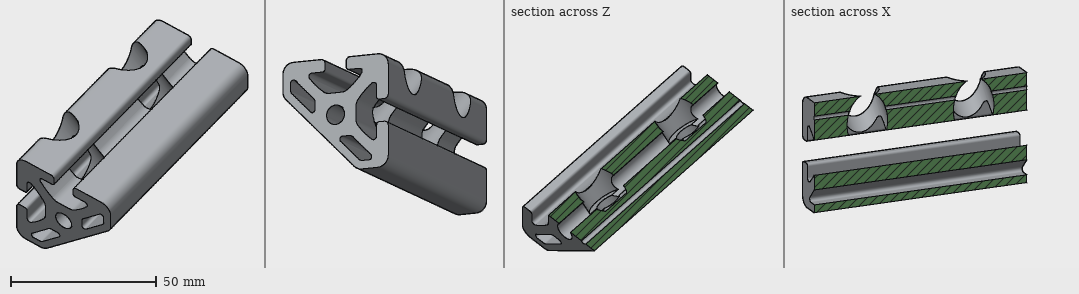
import cadquery as cq
import math

side = 40.0
length = 80.0
outer_radius = 4.0
diagonal_face_distance = 8.3
core_bore_diameter = 6.8

slot_opening = 8.0
lip_thickness = 4.5
slot_floor = 7.8
slot_floor_width = 7.0
slot_tip_width = 22.2
slot_flank_bulge = 0.6
lip_outer_radius = 1.5
lip_inner_radius = 1.0
slot_corner_radius = 1.1
slot_floor_radius = 4.0

chamber_near = 7.8
chamber_far = 17.0
chamber_upper_offset = 1.8
chamber_lower_offset = 7.6
chamber_tip_radius = 1.0
chamber_blunt_radius = 1.8

hole_spacing = 40.0
hole_diameter = 9.0
counterbore_diameter = 15.0
counterbore_floor = 2.3

half_side = side / 2
half_opening = slot_opening / 2
lip_bottom = half_side - lip_thickness
mirror_normal = cq.Vector(1, 0, 1)


def extrude_section(points):
    """Prism with the given (x, z) outline, running the full length and centred on Y = 0."""
    return cq.Workplane("XZ").polyline(points).close().extrude(length / 2, both=True)


def fillet_corners(body, corners, radius):
    """Round the lengthwise edges that pass through the given (x, z) corners."""
    for x, z in corners:
        body = body.edges(cq.selectors.NearestToPointSelector((x, 0, z))).fillet(radius)
    return body


def make_outer_body():
    intercept = diagonal_face_distance * math.sqrt(2)
    corner = half_side - intercept
    outline = [
        (-half_side, half_side),
        (half_side, half_side),
        (half_side, corner),
        (-corner, -half_side),
        (-half_side, -half_side),
    ]
    return extrude_section(outline).edges("|Y").fillet(outer_radius)


def make_slot_cavity():
    """Undercut part of the upper T-slot, below its lips."""
    half_floor = slot_floor_width / 2
    half_tip = slot_tip_width / 2
    tips = [(-half_tip, lip_bottom), (half_tip, lip_bottom)]
    floor_corners = [(half_floor, slot_floor), (-half_floor, slot_floor)]
    cavity = (
        cq.Workplane("XZ")
        .moveTo(*tips[0])
        .lineTo(*tips[1])
        .sagittaArc(floor_corners[0], slot_flank_bulge)
        .lineTo(*floor_corners[1])
        .sagittaArc(tips[0], slot_flank_bulge)
        .close()
        .extrude(length / 2, both=True)
    )
    cavity = fillet_corners(cavity, tips, slot_corner_radius)
    return fillet_corners(cavity, floor_corners, slot_floor_radius)


def make_upper_slot():
    opening = extrude_section([
        (-half_opening, lip_bottom),
        (half_opening, lip_bottom),
        (half_opening, half_side),
        (-half_opening, half_side),
    ])
    return make_slot_cavity().union(opening)


def round_lips(body):
    """Round the lips of both slots; each left corner is the reflection of an upper one."""
    for z, radius in ((half_side, lip_outer_radius), (lip_bottom, lip_inner_radius)):
        upper_corners = [(-half_opening, z), (half_opening, z)]
        left_corners = [(-z, -half_opening), (-z, half_opening)]
        body = fillet_corners(body, upper_corners + left_corners, radius)
    return body


def make_right_chamber():
    tips = [
        (chamber_far, chamber_far - chamber_upper_offset),
        (chamber_near, chamber_near - chamber_lower_offset),
    ]
    blunt_corners = [
        (chamber_far, chamber_far - chamber_lower_offset),
        (chamber_near, chamber_near - chamber_upper_offset),
    ]
    outline = [tips[0], blunt_corners[0], tips[1], blunt_corners[1]]
    chamber = extrude_section(outline)
    chamber = fillet_corners(chamber, tips, chamber_tip_radius)
    return fillet_corners(chamber, blunt_corners, chamber_blunt_radius)


def swap_sides(body):
    """Copy of the body reflected across the plane z = -x."""
    return body.mirror(mirror_normal, (0, 0, 0))


def make_cross_hole(y):
    """Counterbored hole entering at the square corner and leaving through the sloping face."""
    hole_plane = cq.Plane(origin=(0, y, 0), xDir=(0, 1, 0), normal=(-1, 0, 1))
    hole = cq.Workplane(hole_plane).circle(hole_diameter / 2).extrude(side, both=True)
    counterbore = (
        cq.Workplane(hole_plane)
        .workplane(offset=-counterbore_floor)
        .circle(counterbore_diameter / 2)
        .extrude(side + counterbore_floor)
    )
    return hole.union(counterbore)


core_bore = cq.Workplane("XZ").circle(core_bore_diameter / 2).extrude(length / 2, both=True)
upper_slot = make_upper_slot()
right_chamber = make_right_chamber()

result = make_outer_body().cut(core_bore)
for opening in (upper_slot, right_chamber):
    result = result.cut(opening).cut(swap_sides(opening))
result = round_lips(result)
for hole_y in (-hole_spacing / 2, hole_spacing / 2):
    result = result.cut(make_cross_hole(hole_y))